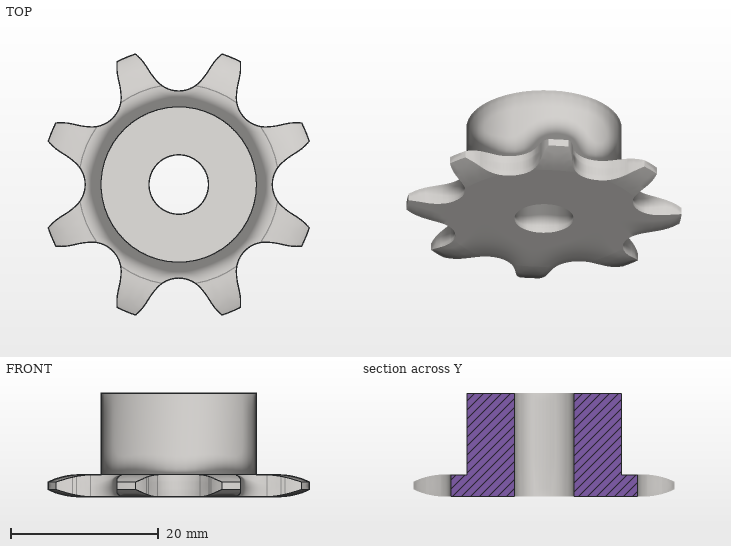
import cadquery as cq
import math

teeth = 8
chain_pitch = 12.7
roller_diameter = 7.75
tip_radius = 18.6
plate_thickness = 3.0
tip_thickness = 1.0
flat_face_radius = 13.55
hub_diameter = 21.0
bore_diameter = 8.0
total_height = 14.0

roller_clearance = 0.05
pitch_angle = 360 / teeth
pitch_radius = chain_pitch / 2 / math.sin(math.radians(pitch_angle / 2))
seat_radius = 0.5025 * roller_diameter + roller_clearance
seat_angle = math.radians(35 + 60 / teeth)
working_angle = math.radians(18 - 56 / teeth)
topping_angle = math.radians(17 - 64 / teeth)
flank_angle = seat_angle - working_angle
working_offset = 0.8 * roller_diameter
working_radius = working_offset + seat_radius
flank_length = roller_diameter * (1.4 * math.sin(topping_angle) - 0.8 * math.sin(working_angle))
topping_radius = roller_diameter * (
    0.8 * math.cos(working_angle) + 1.4 * math.cos(topping_angle) - 1.3025
) - roller_clearance


def offset_point(origin, distance, angle):
    """Move from origin along the normal that leans back by angle from +Y."""
    return (origin[0] - distance * math.sin(angle), origin[1] + distance * math.cos(angle))


def mirrored(point):
    return (point[0], -point[1])


def tooth_gap():
    """Cutter for one gap centred on +X: roller seat, working curves, flats and topping curves."""
    roller_center = (pitch_radius, 0)
    working_center = offset_point(roller_center, -working_offset, seat_angle)
    seat_end = offset_point(roller_center, seat_radius, seat_angle)
    working_mid = offset_point(working_center, working_radius, seat_angle - working_angle / 2)
    flat_start = offset_point(working_center, working_radius, flank_angle)
    flat_end = (
        flat_start[0] + flank_length * math.cos(flank_angle),
        flat_start[1] + flank_length * math.sin(flank_angle),
    )
    topping_center = offset_point(flat_end, topping_radius, flank_angle)

    center_distance = math.hypot(*topping_center)
    center_direction = math.atan2(topping_center[1], topping_center[0])
    tip_offset = math.acos(
        (tip_radius**2 + center_distance**2 - topping_radius**2) / (2 * tip_radius * center_distance)
    )
    tip_direction = center_direction - tip_offset
    tip = (tip_radius * math.cos(tip_direction), tip_radius * math.sin(tip_direction))
    start_direction = math.atan2(flat_end[1] - topping_center[1], flat_end[0] - topping_center[0])
    end_direction = math.atan2(tip[1] - topping_center[1], tip[0] - topping_center[0])
    mid_direction = (start_direction + end_direction) / 2
    topping_mid = (
        topping_center[0] + topping_radius * math.cos(mid_direction),
        topping_center[1] + topping_radius * math.sin(mid_direction),
    )
    beyond_tip = (tip[0] + seat_radius, tip[1])

    return (
        cq.Workplane("XY")
        .moveTo(*beyond_tip)
        .lineTo(*tip)
        .threePointArc(topping_mid, flat_end)
        .lineTo(*flat_start)
        .threePointArc(working_mid, seat_end)
        .threePointArc((pitch_radius - seat_radius, 0), mirrored(seat_end))
        .threePointArc(mirrored(working_mid), mirrored(flat_start))
        .lineTo(*mirrored(flat_end))
        .threePointArc(mirrored(topping_mid), mirrored(tip))
        .lineTo(*mirrored(beyond_tip))
        .close()
        .extrude(plate_thickness)
    )


def sprocket_blank():
    """Disc whose rim thins toward the tip along arcs tangent to both flat faces."""
    side_drop = (plate_thickness - tip_thickness) / 2
    side_reach = tip_radius - flat_face_radius
    side_radius = (side_reach**2 + side_drop**2) / (2 * side_drop)
    half_sweep = math.asin(side_reach / side_radius) / 2
    mid_radius = flat_face_radius + side_radius * math.sin(half_sweep)
    mid_drop = side_radius * (1 - math.cos(half_sweep))
    return (
        cq.Workplane("XZ")
        .lineTo(flat_face_radius, 0)
        .threePointArc((mid_radius, mid_drop), (tip_radius, side_drop))
        .lineTo(tip_radius, plate_thickness - side_drop)
        .threePointArc((mid_radius, plate_thickness - mid_drop), (flat_face_radius, plate_thickness))
        .lineTo(0, plate_thickness)
        .close()
        .revolve(360, (0, 0, 0), (0, 1, 0))
    )


def sprocket_plate():
    plate = sprocket_blank()
    gap = tooth_gap()
    for index in range(teeth):
        plate = plate.cut(gap.rotate((0, 0, 0), (0, 0, 1), index * pitch_angle))
    return plate


hub = cq.Workplane("XY").circle(hub_diameter / 2).extrude(total_height)
bore = cq.Workplane("XY").circle(bore_diameter / 2).extrude(total_height)
result = sprocket_plate().union(hub).cut(bore)